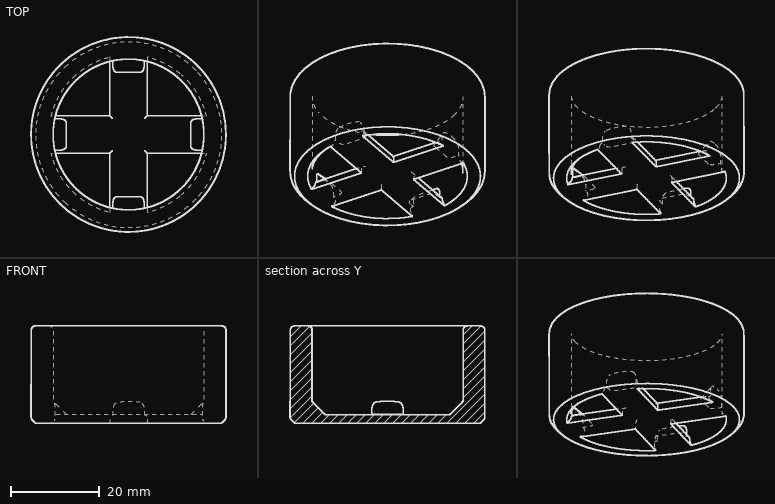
import cadquery as cq

outer_radius = 22.0
bore_radius = 34.0 / 2
ring_height = 22.0
rim_round = 1.0
bottom_chamfer = 1.0
chamfer_blend = 1.0
band_margin = 0.05

arm_width = 8.55
arm_height = 2.0
arm_round = 0.75

gusset_width = arm_width - 2 * arm_round
gusset_inner_radius = 14.0
gusset_round = 0.95

anchor_radius = bore_radius + bottom_chamfer


def make_ring():
    """Tube with rounded top rims and chamfered, softened bottom rims."""
    profile = (
        cq.Workplane("XZ")
        .moveTo(bore_radius + bottom_chamfer, 0)
        .lineTo(outer_radius - bottom_chamfer, 0)
        .lineTo(outer_radius, bottom_chamfer)
        .lineTo(outer_radius, ring_height)
        .lineTo(bore_radius, ring_height)
        .lineTo(bore_radius, bottom_chamfer)
        .close()
    )
    ring = profile.revolve(360, (0, 0, 0), (0, 1, 0))
    ring = ring.faces(">Z").edges().fillet(rim_round)
    corner_band = cq.selectors.BoxSelector(
        (-outer_radius - band_margin, -outer_radius - band_margin, bottom_chamfer - band_margin),
        (outer_radius + band_margin, outer_radius + band_margin, bottom_chamfer + band_margin),
        boundingbox=True,
    )
    ring = ring.edges(corner_band).fillet(chamfer_blend)
    return ring


def make_cross():
    """Two crossing bars with rounded upper edges, trimmed to the ring wall."""
    length = 2 * outer_radius
    bar_x = cq.Workplane("XY").box(length, arm_width, arm_height, centered=(True, True, False))
    bar_y = cq.Workplane("XY").box(arm_width, length, arm_height, centered=(True, True, False))
    cross = bar_x.union(bar_y).faces(">Z").edges().fillet(arm_round)
    return cross.intersect(cq.Workplane("XY").circle(anchor_radius).extrude(arm_height))


def make_gusset():
    """Wedge on the +X arm with rounded edges along its slope."""
    rise = anchor_radius - gusset_inner_radius
    wedge = (
        cq.Workplane("XZ")
        .moveTo(gusset_inner_radius, arm_height)
        .lineTo(anchor_radius, arm_height)
        .lineTo(anchor_radius, arm_height + rise)
        .close()
        .extrude(gusset_width / 2, both=True)
    )
    slope = cq.Vector(1, 0, 1)
    return wedge.edges(cq.selectors.ParallelDirSelector(slope)).fillet(gusset_round)


result = make_ring().union(make_cross())
for angle in (0, 90, 180, 270):
    result = result.union(make_gusset().rotate((0, 0, 0), (0, 0, 1), angle))